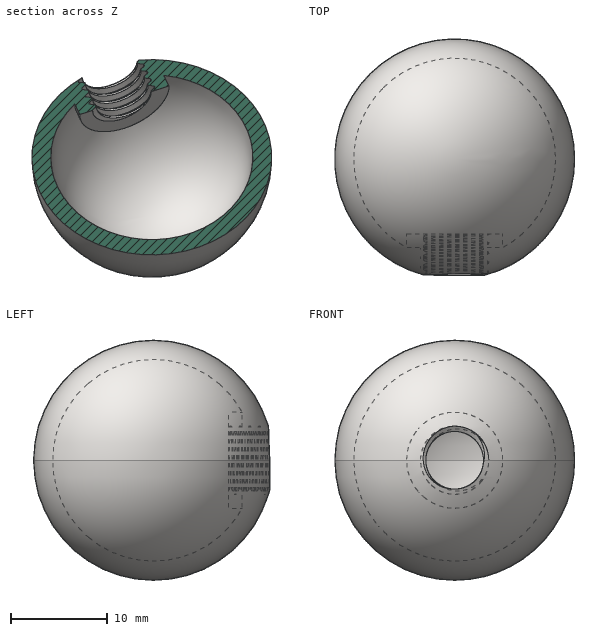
import cadquery as cq

ball_radius = 12.5
wall_thickness = 2.0
cavity_radius = ball_radius - wall_thickness

boss_radius = 5.0
boss_inner_end = 7.8
boss_outer_end = cavity_radius + wall_thickness / 4

thread_pitch = 1.0
bore_radius = 3.0
thread_root_radius = 3.55
groove_mouth_width = 0.75 * thread_pitch
groove_root_width = thread_pitch / 8
thread_angle = 128.0

hole_mouth_distance = (ball_radius**2 - bore_radius**2) ** 0.5
turns_below_mouth = 6
turns_above_mouth = 1
profile_overlap = 0.1


def face_front(body):
    """Turn a body pointing along +Z so that it points along -Y."""
    return body.rotate((0, 0, 0), (1, 0, 0), 90)


def rod(radius, start, end):
    """Round rod along -Y between two distances from the ball centre."""
    return face_front(cq.Workplane("XY").workplane(offset=start).circle(radius).extrude(end - start))


def hemisphere(radius):
    """Upper half of a solid sphere, flat side on the XY plane."""
    return cq.Workplane("XY").sphere(radius, angle1=0, angle2=90)


def hollow_ball():
    """Shell with its boss, made of two halves whose faces meet at the equator."""
    upper_space = cq.Workplane("XY").circle(2 * ball_radius).extrude(ball_radius)
    upper_boss = rod(boss_radius, boss_inner_end, boss_outer_end).intersect(upper_space)
    upper_shell = hemisphere(ball_radius).cut(hemisphere(cavity_radius))
    upper_half = upper_shell.union(upper_boss, clean=False)
    return upper_half.union(upper_half.mirror("XY"), clean=False)


def bore_cutter():
    """Plain cylinder from inside the cavity to outside the ball."""
    return rod(bore_radius, 0, ball_radius + thread_pitch)


def thread_cutter():
    """Right-handed trapezoidal groove wound around the hole axis."""
    helix_length = (turns_below_mouth + turns_above_mouth) * thread_pitch
    helix = cq.Wire.makeHelix(thread_pitch, helix_length, bore_radius)
    flank_slope = (groove_mouth_width - groove_root_width) / 2 / (thread_root_radius - bore_radius)
    inner_half_width = groove_mouth_width / 2 + flank_slope * profile_overlap
    root_half_width = groove_root_width / 2
    inner_radius = bore_radius - profile_overlap
    profile = cq.Workplane("XZ").polyline(
        [
            (inner_radius, -inner_half_width),
            (thread_root_radius, -root_half_width),
            (thread_root_radius, root_half_width),
            (inner_radius, inner_half_width),
        ]
    ).close()
    groove = profile.sweep(cq.Workplane(helix), isFrenet=True)
    helix_start = hole_mouth_distance - turns_below_mouth * thread_pitch
    turned_groove = groove.rotate((0, 0, 0), (0, 0, 1), thread_angle)
    return face_front(turned_groove.translate((0, 0, helix_start)))


bored_ball = hollow_ball().cut(bore_cutter(), clean=False)
result = bored_ball.cut(thread_cutter(), clean=False)